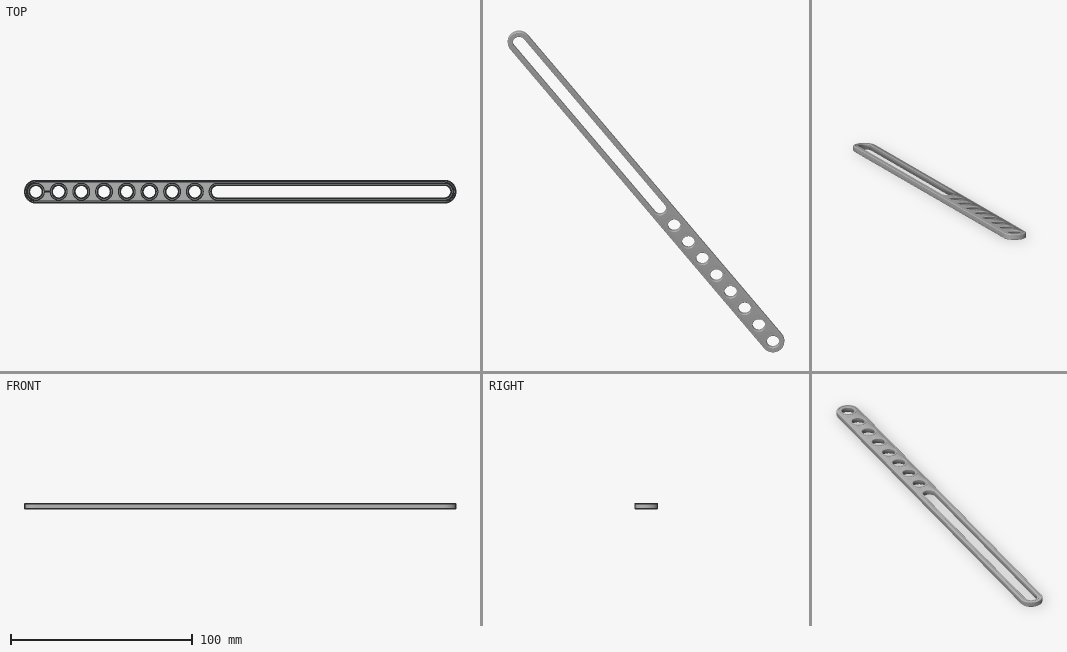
import cadquery as cq

LENGTH = 237.5
PITCH_COUNT = 19
PITCH = LENGTH / PITCH_COUNT
WIDTH = PITCH
THICKNESS = PITCH / 4

HOLE_COUNT = 8
HOLE_DIAMETER = 7.0
COLLAR_DIAMETER = 9.3
FIRST_HOLE_X = (PITCH - LENGTH) / 2
SLOT_START_X = FIRST_HOLE_X + HOLE_COUNT * PITCH
LAST_CENTER_X = -FIRST_HOLE_X

RIM_WIDTH = 1.05
POCKET_DEPTH = 0.2

RIB_WIDTH = 0.5

EDGE_CHAMFER = 0.3


def rounded_outline(start_x, end_x, width):
    """Outline of constant width around the line between two centres; a circle if they coincide."""
    sketch = cq.Workplane("XY").center((start_x + end_x) / 2, 0)
    if end_x > start_x:
        return sketch.slot2D(end_x - start_x + width, width)
    return sketch.circle(width / 2)


def rounded_bar(start_x, end_x, width, thickness):
    """Solid with a rounded outline, centred on the mid-plane."""
    return rounded_outline(start_x, end_x, width).extrude(thickness / 2, both=True)


def make_frame():
    """Bar with full-round ends and bevelled edges, recessed inside its rim on both faces."""
    frame = rounded_bar(FIRST_HOLE_X, LAST_CENTER_X, WIDTH, THICKNESS)
    frame = frame.faces("|Z").edges().chamfer(EDGE_CHAMFER)
    pocket = rounded_bar(FIRST_HOLE_X, LAST_CENTER_X, WIDTH - 2 * RIM_WIDTH, POCKET_DEPTH)
    pocket_z = (THICKNESS - POCKET_DEPTH) / 2
    for side in (-1, 1):
        frame = frame.cut(pocket.translate((0, 0, side * pocket_z)))
    return frame


def make_rib():
    """Full-height rib along the centre line between the first two holes."""
    rib = cq.Workplane("XY").box(PITCH, RIB_WIDTH, THICKNESS)
    return rib.translate((FIRST_HOLE_X + PITCH / 2, 0, 0))


def make_opening(start_x, end_x):
    """Through cutter with a 45 degree bevelled mouth on each face."""
    cutter = rounded_bar(start_x, end_x, HOLE_DIAMETER, THICKNESS)
    mouth_outline = rounded_outline(start_x, end_x, HOLE_DIAMETER + 2 * EDGE_CHAMFER)
    lower_mouth = mouth_outline.extrude(EDGE_CHAMFER, taper=45).translate((0, 0, -THICKNESS / 2))
    upper_mouth = lower_mouth.mirror("XY")
    return cutter.union(lower_mouth).union(upper_mouth)


hole_centers = [FIRST_HOLE_X + index * PITCH for index in range(HOLE_COUNT)]
spans = [(x, x) for x in hole_centers] + [(SLOT_START_X, LAST_CENTER_X)]

result = make_frame()
for start_x, end_x in spans:
    result = result.union(rounded_bar(start_x, end_x, COLLAR_DIAMETER, THICKNESS))
result = result.union(make_rib())
for start_x, end_x in spans:
    result = result.cut(make_opening(start_x, end_x))